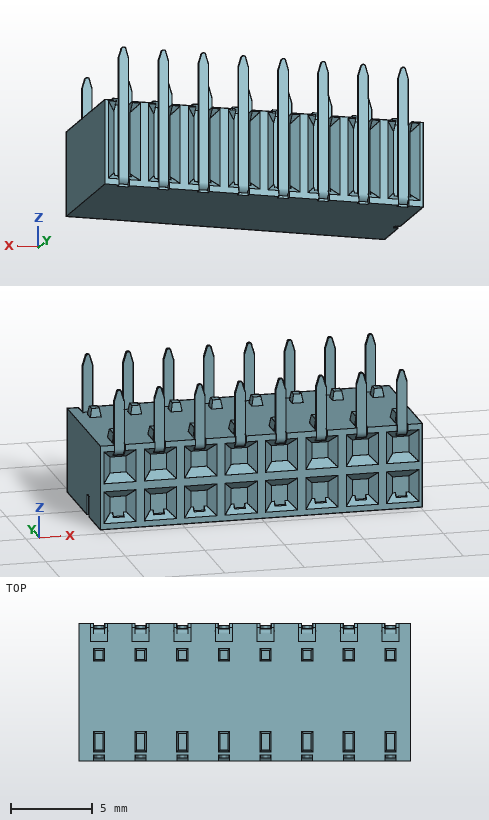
import cadquery as cq

length = 20.25
depth = 8.4
body_height = 5.32
overall_height = 8.75

columns = 8
end_margin = 1.23
pitch = (length - 2 * end_margin) / (columns - 1)
column_xs = [(i - (columns - 1) / 2) * pitch for i in range(columns)]
lower_row_z = (body_height - pitch) / 2
upper_row_z = lower_row_z + pitch

mouth = 2.02
funnel_depth = 0.5
throat = mouth - 2 * funnel_depth
lower_mouth_bottom = lower_row_z - mouth / 2
lower_throat_bottom = lower_row_z - throat / 2
upper_throat_top = upper_row_z + throat / 2

pin_width = 0.63
pin_thickness = 0.2
tip_half_width = 0.15
tip_cap = 0.15
tip_length = 0.7
bend_radius = 0.25
foot_reach = 0.7
foot_clearance = 0.08
front_pin_y = 0.18
rear_pin_gap = 0.12
front_foot_z = upper_throat_top + foot_clearance
rear_foot_z = foot_clearance

pin_slot_width = 0.67
front_slot_depth = front_pin_y + pin_thickness
notch_drop = 0.25
rear_slot_width = 1.03
rear_slot_depth = 1.1
rear_lintel = 0.08
rear_floor_z = lower_throat_bottom - notch_drop
rear_mouth_top = body_height - rear_lintel
rear_channel_depth = rear_pin_gap + pin_thickness
channel_round = 0.3

stud_width = 0.69
stud_height = 0.55
stud_inset = 0.1
front_stud_y = 0.57
front_stud_length = 1.23
rear_stud_setback = 1.54
rear_stud_length = 0.77
rear_stud_y = depth - rear_stud_setback - rear_stud_length

recess_y = 2.91
recess_width = 0.45
recess_height = 1.3
recess_depth = 0.08
recess_foot_depth = 0.3
recess_foot_height = 0.08


def block(width, y0, y1, z0, z1, x=0.0):
    """Box centred on x, spanning y0..y1 and z0..z1."""
    return cq.Workplane("XY").box(width, y1 - y0, z1 - z0, centered=(True, False, False)).translate((x, y0, z0))


def front_funnel(x, row_z):
    """Square opening that narrows inward from the mating face."""
    return (
        cq.Workplane("XZ", origin=(x, 0, row_z))
        .rect(mouth, mouth)
        .workplane(offset=-funnel_depth)
        .rect(throat, throat)
        .loft(ruled=True)
    )


def rear_funnel(x):
    """Tall opening that narrows inward from the rear face."""
    height = rear_mouth_top - lower_mouth_bottom
    return (
        cq.Workplane("XZ", origin=(x, depth, lower_mouth_bottom + height / 2))
        .rect(mouth, height)
        .workplane(offset=funnel_depth)
        .rect(throat, height - 2 * funnel_depth)
        .loft(ruled=True)
    )


def rear_channel(x):
    """Slot below the rear floor whose upper edge is rounded over."""
    wall_y = depth - rear_channel_depth
    return (
        cq.Workplane("YZ", origin=(x - pin_slot_width / 2, 0, 0))
        .moveTo(depth, 0)
        .lineTo(wall_y, 0)
        .lineTo(wall_y, rear_floor_z - channel_round)
        .radiusArc((wall_y - channel_round, rear_floor_z), -channel_round)
        .lineTo(depth, rear_floor_z)
        .close()
        .extrude(pin_slot_width)
    )


def pin(x, outer_y, foot_z, inward):
    """Upright pin with a pointed tip; its foot bends into the housing (inward is +1 or -1 along Y)."""
    blade_height = overall_height - foot_z
    side = (
        cq.Workplane("YZ", origin=(-pin_width / 2, 0, 0))
        .lineTo(foot_reach, 0)
        .lineTo(foot_reach, pin_thickness)
        .lineTo(pin_thickness, pin_thickness)
        .lineTo(pin_thickness, blade_height)
        .lineTo(0, blade_height)
        .close()
        .extrude(pin_width)
    )
    inner_corner = cq.selectors.NearestToPointSelector((0, pin_thickness, pin_thickness))
    outer_corner = cq.selectors.NearestToPointSelector((0, 0, 0))
    side = side.edges(inner_corner).fillet(bend_radius)
    side = side.edges(outer_corner).fillet(bend_radius + pin_thickness)
    face = (
        cq.Workplane("XZ")
        .moveTo(-pin_width / 2, 0)
        .lineTo(pin_width / 2, 0)
        .lineTo(pin_width / 2, blade_height - tip_length)
        .lineTo(tip_half_width, blade_height - tip_cap)
        .threePointArc((0, blade_height), (-tip_half_width, blade_height - tip_cap))
        .lineTo(-pin_width / 2, blade_height - tip_length)
        .close()
        .extrude(-foot_reach)
    )
    shape = side.intersect(face)
    if inward < 0:
        shape = shape.mirror("XZ")
    return shape.translate((x, outer_y, foot_z))


def stud(x, y0, stud_length):
    """Tapered rectangular stand-off."""
    return (
        cq.Workplane("XY", origin=(x, y0 + stud_length / 2, body_height))
        .rect(stud_width, stud_length)
        .workplane(offset=stud_height)
        .rect(stud_width - 2 * stud_inset, stud_length - 2 * stud_inset)
        .loft(ruled=True)
    )


housing = block(length, 0, depth, 0, body_height)
for cut_depth, cut_height in ((recess_depth, recess_height), (recess_foot_depth, recess_foot_height)):
    housing = housing.cut(
        block(2 * cut_depth, recess_y, recess_y + recess_width, 0, cut_height, -length / 2)
    )

for x in column_xs:
    for row_z in (lower_row_z, upper_row_z):
        housing = housing.cut(front_funnel(x, row_z))
    housing = housing.cut(block(pin_slot_width, 0, front_slot_depth, upper_throat_top, body_height, x))
    housing = housing.cut(block(pin_slot_width, 0, funnel_depth, rear_floor_z, lower_row_z, x))
    housing = housing.cut(rear_funnel(x))
    housing = housing.cut(block(rear_slot_width, depth - rear_slot_depth, depth, rear_floor_z, body_height, x))
    housing = housing.cut(rear_channel(x))

for x in column_xs:
    housing = housing.union(stud(x, front_stud_y, front_stud_length))
    housing = housing.union(stud(x, rear_stud_y, rear_stud_length))
    housing = housing.union(pin(x, front_pin_y, front_foot_z, 1))
    housing = housing.union(pin(x, depth - rear_pin_gap, rear_foot_z, -1))

result = housing